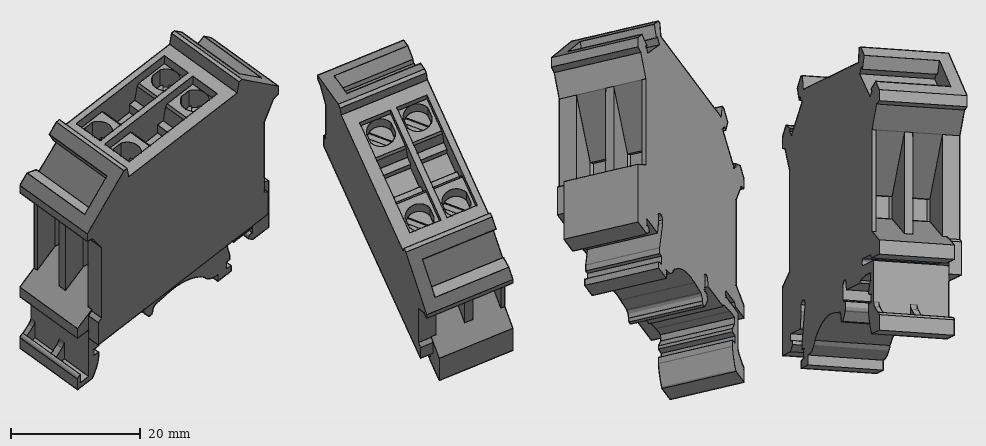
import cadquery as cq

thickness = 14.5
height = 45.9
half_length = 21.25
body_thickness = 12.4

waist = 18.1
deck_z = 43.65
deck_end = 12.03
horn_inner = 12.45
horn_outer = 13.15
horn_low_z = 37.78
horn_bottom_z = 36.05
overhang = 20.1
overhang_z = 35.7
roof_z = 32.05
sill_z = 16.05
lip_top_z = 14.2

claw_bottom_z = 3.45
claw_roof_z = 6.25
gap_arc_z = 10.0
gap_top_z = 10.55
seat_z = 8.85
lip_bottom_z = 11.95
slit_top_z = 12.5
slit_floor_z = 11.4
slit_round_start = 14.05
slit_end = 13.72

plate_bottom_z = 10.05
plate_half_length = 18.8
plate_step_z = 15.75
plate_step_low_z = 15.25

foot_lip_z = 2.45
foot_rim_z = 2.95
foot_rim = 20.55
foot_face = 18.77
foot_trench_z = 1.1
rib_starts = (0.0, 6.05)
rib_widths = (0.85, 1.1)
rib_top_z = 4.85

pocket_outline = [
    (14.7, 44.3), (13.85, 42.27), (13.5, 42.7), (12.6, 41.75),
    (17.25, 37.35), (18.05, 38.15), (17.6, 38.45), (19.65, 39.35), (19.95, 44.52),
]

well_half_length = 9.78
well_spans = ((1.05, 6.15), (7.15, 12.4))
platform_depth = 1.85
platform_end = 4.1
platform_chamfer = 0.35
trough_half = 3.2
trough_depth = 5.05
groove_half = 1.97
groove_depth = 6.9
screw_radius = 2.25
screw_hole_width = 4.18
screw_depth = 5.5
screw_slot_width = 0.95
screw_slot_depth = 0.45

entry_spans = ((0.7, 5.35), (6.75, 11.6))
entry_taper_start = 14.15
entry_throat = 12.58
entry_throat_top_z = 22.85
entry_back = 12.2
entry_taper = 1.25
entry_right_taper = 0.35


def extrude_yz(points, start, length):
    """Prism along X from an outline of (y, z) points."""
    return cq.Workplane("YZ").workplane(offset=start).polyline(points).close().extrude(length)


def both_ends(shape):
    return shape.union(shape.mirror("XZ"))


def mirrored(half):
    """Closed outline from its +Y half, listed from top to bottom."""
    return half + [(-y, z) for y, z in reversed(half)]


upper_half = [
    (deck_end, deck_z),
    (horn_inner, height),
    (horn_outer, height),
    (half_length, horn_low_z),
    (half_length, horn_bottom_z),
    (overhang, overhang_z),
    (waist, roof_z),
]


def make_body():
    """Main section with the rail clamp along its lower edge."""
    ends = upper_half + [(waist, sill_z), (half_length, lip_top_z)]
    outline = cq.Workplane("YZ").moveTo(*ends[0])
    for point in ends[1:]:
        outline = outline.lineTo(*point)
    outline = (
        outline.lineTo(half_length, claw_bottom_z)
        .lineTo(17.65, claw_bottom_z)
        .lineTo(16.7, 4.4)
        .threePointArc((16.8, 4.85), (17.6, 5.1))
        .lineTo(17.6, claw_roof_z)
        .lineTo(13.4, claw_roof_z)
        .lineTo(12.95, 8.9)
        .lineTo(12.95, gap_arc_z)
        .threePointArc((12.15, gap_top_z), (11.35, gap_arc_z))
        .lineTo(11.35, 9.35)
        .lineTo(12.58, 4.05)
        .lineTo(12.58, 2.95)
        .lineTo(11.85, 2.95)
        .lineTo(11.85, 1.45)
        .lineTo(12.95, 1.2)
        .lineTo(12.95, 0)
        .lineTo(9.9, 0)
        .lineTo(9.9, 1.55)
    )
    outline = (
        outline.threePointArc((8.1, 2.05), (6.95, 3.35))
        .threePointArc((3.65, 5.55), (-1.38, 6.2))
        .lineTo(-3.8, 5.88)
        .threePointArc((-4.25, 5.55), (-4.5, 4.75))
        .lineTo(-4.75, 4.18)
        .lineTo(-5.35, 4.18)
        .lineTo(-6.35, 5.6)
        .threePointArc((-6.5, 6.55), (-6.2, 7.2))
        .lineTo(-5.7, 7.25)
        .lineTo(-5.45, 7.55)
        .lineTo(-5.45, gap_arc_z)
        .threePointArc((-6.05, gap_top_z), (-6.6, gap_arc_z))
        .lineTo(-6.85, seat_z)
        .lineTo(-12.8, seat_z)
        .lineTo(-13.0, 9.25)
        .lineTo(-15.55, 9.7)
        .lineTo(-17.4, 9.7)
    )
    outline = (
        outline.lineTo(-17.4, 8.5)
        .lineTo(-16.52, 7.05)
        .lineTo(-16.52, 6.45)
        .lineTo(-17.63, 6.35)
        .lineTo(-17.63, 5.1)
        .lineTo(-16.52, 4.9)
        .lineTo(-16.52, 3.75)
        .threePointArc((-17.0, 1.85), (-17.95, 0))
        .lineTo(-half_length, 0)
        .lineTo(-half_length, foot_lip_z)
        .threePointArc((-20.98, 2.8), (-foot_rim, foot_rim_z))
        .lineTo(-foot_rim, foot_trench_z)
        .lineTo(-foot_face, foot_trench_z)
        .lineTo(-foot_face, slit_floor_z)
    )
    outline = (
        outline.lineTo(-slit_round_start, slit_floor_z)
        .threePointArc((-slit_end, lip_bottom_z), (-slit_round_start, slit_top_z))
        .lineTo(-17.3, slit_top_z)
        .lineTo(-17.8, lip_bottom_z)
        .lineTo(-half_length, lip_bottom_z)
    )
    for y, z in reversed(ends):
        outline = outline.lineTo(-y, z)
    return outline.close().extrude(body_thickness)


def make_plate():
    """Closing plate on the +X side, without the rail clamp."""
    half = upper_half + [
        (waist, plate_step_z),
        (plate_half_length, plate_step_low_z),
        (plate_half_length, plate_bottom_z),
    ]
    return extrude_yz(mirrored(half), body_thickness, thickness - body_thickness)


def make_rib(start, width):
    """Gusset across the trench, from the foot face to the outer lip, with a hollow upper edge."""
    return (
        cq.Workplane("YZ")
        .workplane(offset=start)
        .moveTo(-foot_rim, foot_trench_z)
        .lineTo(-foot_face, foot_trench_z)
        .lineTo(-foot_face, rib_top_z)
        .threePointArc((-18.95, 4.35), (-19.3, 4.0))
        .lineTo(-foot_rim, foot_rim_z)
        .close()
        .extrude(width)
    )


def make_well(x_span):
    """Stepped opening for one pole, with a slotted screw at each end."""
    start, end = x_span
    center = (start + end) / 2
    platform_z = deck_z - platform_depth
    trough_z = deck_z - trough_depth
    half = [
        (well_half_length, deck_z),
        (well_half_length, platform_z),
        (platform_end, platform_z),
        (platform_end - platform_chamfer, platform_z - platform_chamfer),
        (trough_half, trough_z),
        (groove_half, trough_z),
        (groove_half, deck_z - groove_depth),
    ]
    well = extrude_yz(mirrored(half), start, end - start)

    screw_y = well_half_length - screw_radius
    head_z = deck_z - screw_depth
    for y in (screw_y, -screw_y):
        hole = cq.Workplane("XY").circle(screw_radius).extrude(platform_z - head_z)
        slot = (
            cq.Workplane("XY")
            .rect(2 * screw_radius, screw_slot_width)
            .extrude(-screw_slot_depth)
            .rotate((0, 0, 0), (0, 0, 1), -45)
        )
        slot = slot.intersect(cq.Workplane("XY").circle(screw_radius).extrude(-screw_slot_depth))
        sides = cq.Workplane("XY").box(screw_hole_width, 2 * screw_radius, height)
        well = well.union(hole.union(slot).intersect(sides).translate((center, y, head_z)))
    return well


def make_entry(x_span):
    """Funnel for one wire at the -Y end, its floor carrying on the slope of the lip."""
    start, end = x_span
    floor_slope = (sill_z - lip_top_z) / (half_length - waist)
    throat_floor_z = sill_z + floor_slope * (waist - entry_throat)
    side = [
        (-waist, roof_z),
        (-entry_throat, entry_throat_top_z),
        (-entry_back, entry_throat_top_z),
        (-entry_back, throat_floor_z),
        (-entry_throat, throat_floor_z),
        (-waist, sill_z),
    ]
    plan = [
        (start, -waist),
        (start, -entry_taper_start),
        (start + entry_taper, -entry_back),
        (end - entry_right_taper, -entry_back),
        (end, -entry_throat),
        (end, -waist),
    ]
    columns = cq.Workplane("XY").polyline(plan).close().extrude(height)
    return extrude_yz(side, start, end - start).intersect(columns)


result = make_body().union(make_plate())
for rib_start, rib_width in zip(rib_starts, rib_widths):
    result = result.union(make_rib(rib_start, rib_width))
result = result.cut(both_ends(extrude_yz(pocket_outline, 0, body_thickness)))
for span in well_spans:
    result = result.cut(make_well(span))
for span in entry_spans:
    result = result.cut(both_ends(make_entry(span)))